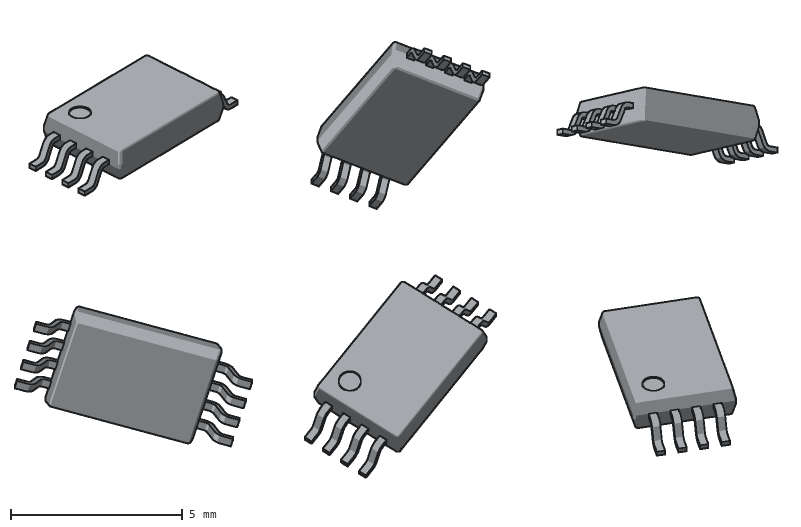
import cadquery as cq
import math

overall_length = 6.6
overall_height = 1.2

body_width = 3.1
body_length = 4.5
body_height = 1.055
taper_angle = 12.0
edge_radius = 0.1

mark_diameter = 0.65
mark_depth = 0.05
mark_x = -0.77
mark_y = -1.47

leads_per_side = 4
lead_row_span = 1.95
lead_pitch = lead_row_span / (leads_per_side - 1)
lead_width = 0.25
lead_thickness = 0.15
foot_length = 0.3
bend_angle = 65.0
inner_bend_radius = 0.145

body_bottom = overall_height - body_height
band_bottom = body_bottom + (body_height - lead_thickness) / 2
band_top = band_bottom + lead_thickness


def make_body():
    half_height = overall_height - band_top
    band = (
        cq.Workplane("XY", origin=(0, 0, band_bottom))
        .rect(body_width, body_length)
        .extrude(lead_thickness)
    )
    upper_half = (
        cq.Workplane("XY", origin=(0, 0, band_top))
        .rect(body_width, body_length)
        .extrude(half_height, taper=taper_angle)
    )
    lower_half = (
        cq.Workplane("XY", origin=(0, 0, band_bottom))
        .rect(body_width, body_length)
        .extrude(-half_height, taper=taper_angle)
    )
    body = band.union(upper_half).union(lower_half)

    body = body.edges("(not #Z) or <Z or >Z").fillet(edge_radius)

    mark = (
        cq.Workplane("XY", origin=(mark_x, mark_y, overall_height - mark_depth))
        .circle(mark_diameter / 2)
        .extrude(mark_depth)
    )
    return body.cut(mark)


def make_lead(x):
    """Lead on the +Y side, centred on x, from the body's end face to the tip of its foot."""
    angle = math.radians(bend_angle)
    outer_bend_radius = inner_bend_radius + lead_thickness
    sum_of_radii = inner_bend_radius + outer_bend_radius

    drop = band_bottom
    slope_length = (drop - sum_of_radii * (1 - math.cos(angle))) / math.sin(angle)
    bends_run = sum_of_radii * math.sin(angle) + slope_length * math.cos(angle)

    body_end = body_length / 2
    tip = overall_length / 2
    foot_start = tip - foot_length
    shoulder_end = foot_start - bends_run

    def upper_bend(radius):
        """Point at the end of the upper bend, which curves about a centre below the shoulder."""
        centre_z = band_bottom - inner_bend_radius
        return shoulder_end + radius * math.sin(angle), centre_z + radius * math.cos(angle)

    def lower_bend(radius):
        """Point at the start of the lower bend, which curves about a centre above the foot."""
        centre_z = outer_bend_radius
        return foot_start - radius * math.sin(angle), centre_z - radius * math.cos(angle)

    return (
        cq.Workplane("YZ", origin=(x - lead_width / 2, 0, 0))
        .moveTo(body_end, band_top)
        .lineTo(shoulder_end, band_top)
        .tangentArcPoint(upper_bend(outer_bend_radius), relative=False)
        .lineTo(*lower_bend(inner_bend_radius))
        .tangentArcPoint((foot_start, lead_thickness), relative=False)
        .lineTo(tip, lead_thickness)
        .lineTo(tip, 0)
        .lineTo(foot_start, 0)
        .tangentArcPoint(lower_bend(outer_bend_radius), relative=False)
        .lineTo(*upper_bend(inner_bend_radius))
        .tangentArcPoint((shoulder_end, band_bottom), relative=False)
        .lineTo(body_end, band_bottom)
        .close()
        .extrude(lead_width)
    )


def make_leads():
    leads = []
    for index in range(leads_per_side):
        lead = make_lead(index * lead_pitch - lead_row_span / 2)
        leads.append(lead)
        leads.append(lead.mirror("XZ"))
    return leads


body = make_body()
leads = make_leads()

result = cq.Compound.makeCompound([body.val(), *[lead.val() for lead in leads]])